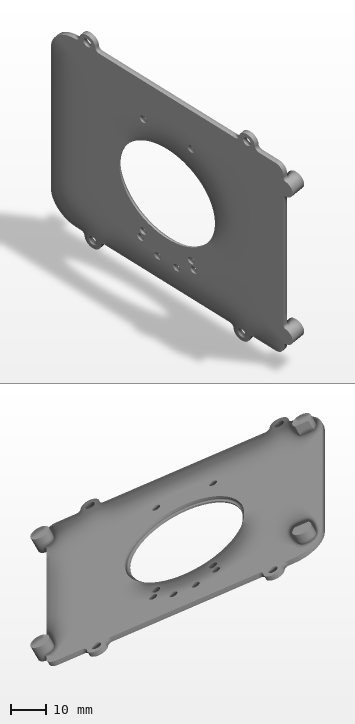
import cadquery as cq
import math

plate_half_width = 43.7
plate_top = 39.4
plate_bottom = -36.0
plate_thickness = 1.5
left_corner_radius = 9.5
right_corner_radius = 3.0

ear_radius = 3.0
ear_hole_diameter = 3.0
ear_fillet = 1.5
side_ear_fillet = 1.0
top_ear_x = 30.0
top_ear_z = 40.8
bottom_ear_x = 28.0
bottom_ear_z = -37.3

standoff_radius = 3.0
overall_depth = 5.0
left_standoff_x = -38.9
right_standoff_x = 44.1
upper_standoff_z = 31.3
lower_standoff_z = -27.9
flat_depth = 0.9

opening_diameter = 36.0
opening_lip_thickness = 0.5
opening_recess_diameter = 38.0
small_hole_diameter = 2.5
small_hole_pairs = [(9.0, 24.0), (9.0, -20.9), (10.0, -24.0), (3.5, -27.3)]

top_ears = [(side * top_ear_x, top_ear_z) for side in (-1, 1)]
bottom_ears = [(side * bottom_ear_x, bottom_ear_z) for side in (-1, 1)]
standoff_heights = (upper_standoff_z, lower_standoff_z)
side_ears = [(right_standoff_x, z) for z in standoff_heights]


def discs(centers, radius, depth):
    """Cylinders from the front face back to the given depth."""
    return cq.Workplane("XZ").pushPoints(centers).circle(radius).extrude(-depth)


def base_plate():
    """Plain plate with large left corners and small right corners."""
    width = 2 * plate_half_width
    height = plate_top - plate_bottom
    middle_z = (plate_top + plate_bottom) / 2
    plate = cq.Workplane("XZ").center(0, middle_z).rect(width, height).extrude(-plate_thickness)
    plate = plate.edges("|Y and <X").fillet(left_corner_radius)
    return plate.edges("|Y and >X").fillet(right_corner_radius)


def ear_web(center, edge_point, outward, fillet):
    """Neck blending an ear into a straight rim edge with a concave arc on each side.

    edge_point is the foot of the ear center on the rim; outward is the unit
    vector (x, z) pointing away from the plate.
    """
    out_x, out_z = outward
    rise = (center[0] - edge_point[0]) * out_x + (center[1] - edge_point[1]) * out_z
    reach = ear_radius + fillet
    half_base = math.sqrt(reach**2 - (fillet - rise) ** 2)

    def place(along, out):
        return (edge_point[0] + along * out_z + out * out_x, edge_point[1] - along * out_x + out * out_z)

    share = ear_radius / reach
    touch_along = half_base * share
    touch_out = rise + (fillet - rise) * share
    touch_angle = math.atan2(touch_out - fillet, touch_along - half_base) % (2 * math.pi)
    middle_angle = (touch_angle + 1.5 * math.pi) / 2
    middle_along = half_base + fillet * math.cos(middle_angle)
    middle_out = fillet + fillet * math.sin(middle_angle)

    return (
        cq.Workplane("XZ")
        .moveTo(*place(-half_base, -ear_radius))
        .lineTo(*place(-half_base, 0))
        .threePointArc(place(-middle_along, middle_out), place(-touch_along, touch_out))
        .lineTo(*place(touch_along, touch_out))
        .threePointArc(place(middle_along, middle_out), place(half_base, 0))
        .lineTo(*place(half_base, -ear_radius))
        .close()
        .extrude(-plate_thickness)
    )


def left_standoff(x, z, inward):
    """Round standoff with a flat on its side toward the plate middle (inward is +1 or -1 in Z)."""
    width = 2 * standoff_radius
    flat_z = z + inward * (standoff_radius - flat_depth)
    beyond_flat = (
        cq.Workplane("XZ")
        .center(x, flat_z + inward * standoff_radius)
        .rect(width, width)
        .extrude(-overall_depth)
    )
    return discs([(x, z)], standoff_radius, overall_depth).cut(beyond_flat)


plate = base_plate().union(discs(top_ears + bottom_ears, ear_radius, plate_thickness))
for x, z in top_ears:
    plate = plate.union(ear_web((x, z), (x, plate_top), (0, 1), ear_fillet))
for x, z in bottom_ears:
    plate = plate.union(ear_web((x, z), (x, plate_bottom), (0, -1), ear_fillet))
for x, z in side_ears:
    plate = plate.union(ear_web((x, z), (plate_half_width, z), (1, 0), side_ear_fillet))

plate = plate.union(discs(side_ears, standoff_radius, overall_depth))
plate = plate.union(left_standoff(left_standoff_x, upper_standoff_z, -1))
plate = plate.union(left_standoff(left_standoff_x, lower_standoff_z, 1))

small_holes = [(side * x, z) for x, z in small_hole_pairs for side in (-1, 1)]
plate = plate.cut(discs([(0, 0)], opening_diameter / 2, plate_thickness))
recess = discs([(0, 0)], opening_recess_diameter / 2, plate_thickness)
plate = plate.cut(recess.translate((0, opening_lip_thickness, 0)))
plate = plate.cut(discs(small_holes, small_hole_diameter / 2, plate_thickness))
plate = plate.cut(discs(top_ears + bottom_ears, ear_hole_diameter / 2, plate_thickness))

result = plate